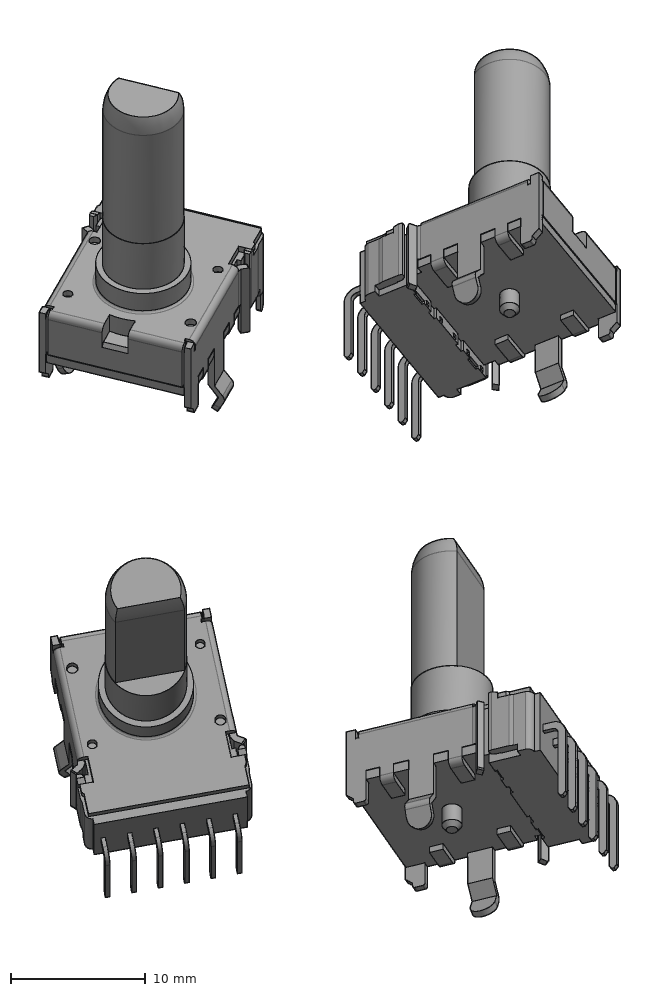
import cadquery as cq
import math


overall_height = 28.8
snap_tip_z = -10.535

shaft_top = overall_height + snap_tip_z
shaft_radius = 3.02
shaft_flat_y = 1.5
shaft_flat_bottom = 6.27
crown_height = 1.45
crown_inset = 0.4
crown_middle_inset = 0.11
collar_radius = 3.045
bushing_radius = 3.54
bushing_top = 1.84
bushing_foot_radius = 3.76
bushing_foot_height = 0.16
bushing_foot_fillet = 0.22

sheet = 0.52
cover_half_width = 6.02
cover_front = -cover_half_width
cover_wall_rear = 4.14
wall_bottom = -3.97
leg_bottom = -6.75
cover_neck_half_width = 5.22
cover_shoulder_front = 6.28
cover_step_front = 6.93
cover_step_rear = 7.14
cover_rear = 8.77
cover_rear_half_width = 6.09
cover_shoulder_half_width = 6.25
bend_radius = 0.5
corner_relief_rear = -5.03
corner_relief_front = -5.28
corner_relief_depth = 0.8
front_wall_half_width = 5.32
front_slit_half_width = front_wall_half_width + 0.14
front_slit_depth = 0.7
front_leg_rear = -4.43
front_leg_toe = -5.44
front_leg_shoulder = -5.8
front_leg_knee = -6.3
leg_corner_radius = 0.2
flare_top = -0.5
flare_root_outer = (6.08, 4.42)
flare_root_inner = (5.72, 4.79)
flare_reach_x = 0.59
flare_reach_y = 0.39
hole_depth = sheet
large_hole_diameter = 0.83
small_hole_diameter = 0.73
large_hole_centers = [(-5.02, 3.13), (4.95, -3.18)]
small_hole_centers = [(4.71, 3.23), (-4.76, -3.28)]
notch_half_width = 1.015
notch_floor = -1.6
notch_lip_bottom = -1.93
notch_lip_y = -5.76
notch_back_radius = 4.55
stake_inner_x = {2.73: 3.5, -2.78: 3.7}
stake_width = 1.1

body_bottom = -4.77
body_half_width = 5.44
body_skirt_half_width = 5.97
body_front = -5.95
rear_bottom = -5.81
rear_front = 5.36
rear_end = 9.48
rear_core_half_width = 5.75
rear_cheek_half_width = 6.33
rear_end_half_width = 5.8
cheek_bottom = -5.18
cheek_front = 7.87
cheek_round_start = 8.5
cheek_round_end = 9.0
cheek_round_radius = 0.55
finger_inner_x = 5.8
finger_outer_x = 6.4
finger_front = 5.53
finger_barb_y = 5.83
finger_rear = 7.2
finger_blend_rear = 7.55
finger_top = 0.15
finger_tip_chamfer = 0.2
finger_outer_relief = 0.06
peg_radius = 0.75
peg_bottom = -6.62
peg_tip_radius = 0.43
peg_taper_height = 0.42
rib_groove_inner_x = 1.62
rib_groove_outer_x = 2.39
foot_slot_inner_x = 3.4
foot_slot_outer_x = 4.58
foot_slot_top = -5.58
face_recess_depth = 0.2

pin_count = 6
pin_pitch = 2.0
pin_row_center = 0.125
pin_width = 0.34
pin_thickness = 0.6
pin_back = 11.29
pin_top = -3.11
pin_bend_radius = 1.05
pin_bottom = -10.0
pin_taper_height = 0.28
pin_tip_thickness = 0.2
pin_window_width = 0.34
pin_window_top = -5.2
pin_window_bottom = -5.58

snap_half_width = 0.995
snap_straight_end = -7.6
snap_knee_x = 6.905
snap_knee_z = -8.69
snap_knee_radius = 0.61
snap_inner_knee_x = 6.33
snap_inner_knee_z = -8.67
snap_tip_x = 6.02


def block(x0, x1, y0, y1, z0, z1):
    return cq.Workplane("XY").box(x1 - x0, y1 - y0, z1 - z0, centered=False).translate((x0, y0, z0))


def wide_block(half_width, y0, y1, z0, z1):
    return block(-half_width, half_width, y0, y1, z0, z1)


def both_sides(solid):
    return solid.union(solid.mirror("YZ"))


def prism_x(profile, x0, x1):
    """Extrude a closed YZ profile from x0 to x1."""
    return profile.extrude(x1 - x0).translate((x0, 0, 0))


def make_shaft():
    crown_bottom = shaft_top - crown_height
    middle_z = shaft_top - crown_height / 2
    round_body = (
        cq.Workplane("XZ")
        .lineTo(shaft_radius, 0)
        .lineTo(shaft_radius, crown_bottom)
        .threePointArc((shaft_radius - crown_middle_inset, middle_z), (shaft_radius - crown_inset, shaft_top))
        .lineTo(0, shaft_top)
        .close()
        .revolve(360, (0, 0), (0, 1))
    )
    flat_side = (
        cq.Workplane("YZ")
        .moveTo(shaft_flat_y, shaft_flat_bottom)
        .lineTo(shaft_flat_y, crown_bottom)
        .threePointArc((shaft_flat_y - crown_middle_inset, middle_z), (shaft_flat_y - crown_inset, shaft_top))
        .lineTo(shaft_radius, shaft_top)
        .lineTo(shaft_radius, shaft_flat_bottom)
        .close()
    )
    shaft = round_body.cut(prism_x(flat_side, -shaft_radius, shaft_radius))
    collar = cq.Workplane("XY").circle(collar_radius).extrude(shaft_flat_bottom)
    bushing = (
        cq.Workplane("XZ")
        .lineTo(bushing_foot_radius, 0)
        .radiusArc((bushing_radius, bushing_foot_height), bushing_foot_fillet)
        .lineTo(bushing_radius, bushing_top)
        .lineTo(0, bushing_top)
        .close()
        .revolve(360, (0, 0), (0, 1))
    )
    return shaft.union(collar).union(bushing)


def make_front_leg():
    profile = (
        cq.Workplane("YZ")
        .moveTo(cover_front, 0)
        .lineTo(corner_relief_front, 0)
        .lineTo(corner_relief_front, wall_bottom)
        .lineTo(front_leg_rear, wall_bottom)
        .lineTo(front_leg_rear, leg_bottom)
        .lineTo(front_leg_toe, leg_bottom)
        .lineTo(front_leg_toe, front_leg_knee)
        .lineTo(cover_front, front_leg_shoulder)
        .close()
    )
    leg = prism_x(profile, cover_half_width - sheet, cover_half_width)
    return leg.faces("<Z").edges("|X").fillet(leg_corner_radius)


def make_flared_leg():
    """Rear leg, bent outwards from the side wall."""
    inner_wall = cover_half_width - sheet
    blade_outline = [
        flare_root_outer,
        (flare_root_outer[0] + flare_reach_x, flare_root_outer[1] + flare_reach_y),
        (flare_root_inner[0] + flare_reach_x, flare_root_inner[1] + flare_reach_y),
        flare_root_inner,
    ]
    bend_outline = [
        (inner_wall, cover_wall_rear),
        (cover_half_width, cover_wall_rear),
        flare_root_outer,
        flare_root_inner,
        (inner_wall, flare_root_outer[1]),
    ]
    blade = cq.Workplane("XY").polyline(blade_outline).close().extrude(leg_bottom - flare_top)
    blade = blade.edges(">Z or <Z").edges(">X").chamfer(leg_corner_radius / 2)
    bend = cq.Workplane("XY").polyline(bend_outline).close().extrude(wall_bottom - flare_top)
    return blade.union(bend).translate((0, 0, flare_top))


def make_snap_leg():
    run = snap_knee_x - snap_tip_x
    drop = snap_knee_z - snap_tip_z
    length = math.hypot(run, drop)
    normal = (drop / length, 0, -run / length)
    inner_tip = (snap_tip_x - sheet * normal[0], snap_tip_z - sheet * normal[2])
    blade = (
        cq.Workplane("XZ")
        .moveTo(cover_half_width, wall_bottom)
        .lineTo(cover_half_width, snap_straight_end)
        .lineTo(snap_knee_x, snap_knee_z)
        .lineTo(snap_tip_x, snap_tip_z)
        .lineTo(*inner_tip)
        .lineTo(snap_inner_knee_x, snap_inner_knee_z)
        .lineTo(cover_half_width - sheet, snap_straight_end)
        .lineTo(cover_half_width - sheet, wall_bottom)
        .close()
        .extrude(snap_half_width, both=True)
    )
    blade = blade.edges("|Y and >X").fillet(snap_knee_radius)
    tip_plane = cq.Plane(origin=(snap_tip_x, 0, snap_tip_z), xDir=(0, 1, 0), normal=normal)
    up = 1 if tip_plane.yDir.z > 0 else -1
    corner_scrap = (
        cq.Workplane(tip_plane)
        .moveTo(-snap_half_width, up * snap_half_width)
        .threePointArc((0, 0), (snap_half_width, up * snap_half_width))
        .lineTo(snap_half_width, -up * sheet)
        .lineTo(-snap_half_width, -up * sheet)
        .close()
        .extrude(2 * sheet, both=True)
    )
    return blade.cut(corner_scrap)


def make_stake(center_y, inner_x):
    """Tab of the side wall folded inwards under the plastic body."""
    outer_wall = cover_half_width - sheet
    stake = block(inner_x, cover_half_width, 0, stake_width, body_bottom - sheet, wall_bottom)
    stake = stake.edges("|Y").edges(">X and <Z").fillet(sheet)
    stake = stake.cut(block(inner_x, outer_wall, 0, stake_width, body_bottom, wall_bottom))
    return stake.translate((0, center_y - stake_width / 2, 0))


def make_cover():
    shell = wide_block(cover_half_width, cover_front, cover_wall_rear, wall_bottom, 0)
    shell = shell.edges("|Y and >Z").fillet(bend_radius)
    shell = shell.edges("|X").edges("<Y and >Z").fillet(bend_radius)
    roof = wide_block(cover_neck_half_width, 0, cover_shoulder_front, -sheet, 0)
    rear_roof = (
        cq.Workplane("XY")
        .moveTo(0, cover_shoulder_front)
        .lineTo(cover_shoulder_half_width, cover_shoulder_front)
        .lineTo(cover_shoulder_half_width, cover_step_front)
        .lineTo(cover_rear_half_width, cover_step_rear)
        .lineTo(cover_rear_half_width, cover_rear)
        .lineTo(0, cover_rear)
        .close()
        .extrude(-sheet)
    )
    sides = make_front_leg().union(make_flared_leg()).union(make_snap_leg())
    for center_y, inner_x in stake_inner_x.items():
        sides = sides.union(make_stake(center_y, inner_x))
    cover = shell.union(roof).union(both_sides(rear_roof)).union(both_sides(sides))
    slit = block(front_wall_half_width, front_slit_half_width, cover_front,
                 cover_front + front_slit_depth, wall_bottom, 0)
    relief = block(cover_neck_half_width, cover_half_width, corner_relief_front, corner_relief_rear,
                   -corner_relief_depth, 0)
    return cover.cut(both_sides(slit.union(relief)))


def make_rear_body():
    core = wide_block(rear_core_half_width, rear_front, cheek_front, rear_bottom, -sheet)
    cheeks = (
        cq.Workplane("XY")
        .moveTo(0, cover_shoulder_front)
        .lineTo(rear_cheek_half_width, cover_shoulder_front)
        .lineTo(rear_cheek_half_width, cheek_round_start)
        .radiusArc((rear_end_half_width, cheek_round_end), -cheek_round_radius)
        .lineTo(rear_end_half_width, rear_end)
        .lineTo(0, rear_end)
        .close()
        .extrude(rear_bottom + sheet)
        .translate((0, 0, -sheet))
    )
    below_cheek = block(rear_core_half_width, finger_outer_x, rear_front, cheek_front,
                        rear_bottom, cheek_bottom)
    return core.union(both_sides(cheeks.cut(below_cheek)))


def make_finger():
    """Latch finger at the side of the rear body, with a barb above the roof."""
    arm = (
        cq.Workplane("XY")
        .moveTo(finger_inner_x, finger_blend_rear)
        .lineTo(finger_inner_x, finger_barb_y)
        .lineTo(finger_inner_x + finger_tip_chamfer, finger_front)
        .lineTo(finger_outer_x - finger_outer_relief, finger_front)
        .lineTo(finger_outer_x, finger_barb_y)
        .lineTo(finger_outer_x, finger_rear)
        .lineTo(rear_cheek_half_width, finger_blend_rear)
        .close()
        .extrude(finger_top - cheek_bottom)
        .translate((0, 0, cheek_bottom))
    )
    above_arm = (
        cq.Workplane("YZ")
        .moveTo(finger_blend_rear, -sheet)
        .lineTo(cover_shoulder_front, -sheet)
        .lineTo(cover_shoulder_front, 0)
        .lineTo(finger_barb_y, finger_top)
        .lineTo(finger_blend_rear, finger_top)
        .close()
    )
    return arm.cut(prism_x(above_arm, finger_inner_x, finger_outer_x))


def make_peg():
    return (
        cq.Workplane("XZ")
        .moveTo(0, wall_bottom)
        .lineTo(peg_radius, wall_bottom)
        .lineTo(peg_radius, peg_bottom + peg_taper_height)
        .lineTo(peg_tip_radius, peg_bottom)
        .lineTo(0, peg_bottom)
        .close()
        .revolve(360, (0, 0), (0, 1))
    )


def pin_positions():
    first = pin_row_center - pin_pitch * (pin_count - 1) / 2
    return [first + i * pin_pitch for i in range(pin_count)]


def make_pin(center_x):
    inner_y = pin_back - pin_thickness
    tip_inset = (pin_thickness - pin_tip_thickness) / 2
    inner_radius = pin_bend_radius - pin_thickness
    profile = (
        cq.Workplane("YZ")
        .moveTo(rear_end, pin_top)
        .lineTo(pin_back - pin_bend_radius, pin_top)
        .radiusArc((pin_back, pin_top - pin_bend_radius), pin_bend_radius)
        .lineTo(pin_back, pin_bottom + pin_taper_height)
        .lineTo(pin_back - tip_inset, pin_bottom)
        .lineTo(inner_y + tip_inset, pin_bottom)
        .lineTo(inner_y, pin_bottom + pin_taper_height)
        .lineTo(inner_y, pin_top - pin_bend_radius)
        .radiusArc((inner_y - inner_radius, pin_top - pin_thickness), -inner_radius)
        .lineTo(rear_end, pin_top - pin_thickness)
        .close()
    )
    return prism_x(profile, center_x - pin_width / 2, center_x + pin_width / 2)


def make_rear_recesses():
    """Shallow recesses in the exposed lower front face of the rear body."""
    recess_back = rear_front + face_recess_depth
    groove = block(rib_groove_inner_x, rib_groove_outer_x, rear_front, recess_back, rear_bottom, body_bottom)
    slot = block(foot_slot_inner_x, foot_slot_outer_x, rear_front, recess_back, rear_bottom, foot_slot_top)
    recesses = both_sides(groove.union(slot))
    for x in pin_positions():
        window = block(x - pin_window_width / 2, x + pin_window_width / 2, rear_front, recess_back,
                       pin_window_bottom, pin_window_top)
        recesses = recesses.union(window)
    return recesses


def make_front_notch():
    profile = (
        cq.Workplane("YZ")
        .moveTo(0, 0)
        .lineTo(cover_front, 0)
        .lineTo(cover_front, notch_lip_bottom)
        .lineTo(notch_lip_y, notch_floor)
        .lineTo(0, notch_floor)
        .close()
    )
    back_wall = cq.Workplane("XY").circle(notch_back_radius).extrude(2 * notch_floor)
    return prism_x(profile, -notch_half_width, notch_half_width).cut(back_wall)


def make_holes(centers, diameter):
    return cq.Workplane("XY").pushPoints(centers).circle(diameter / 2).extrude(-hole_depth)


def make_body():
    lower = wide_block(body_half_width, body_front, rear_front, body_bottom, wall_bottom)
    upper = wide_block(body_half_width, 0, rear_front, wall_bottom, -sheet)
    skirt = wide_block(body_skirt_half_width, front_leg_rear, flare_root_outer[1], body_bottom, wall_bottom)
    rear = make_rear_body().cut(make_rear_recesses()).union(both_sides(make_finger()))
    return lower.union(upper).union(skirt).union(rear).union(make_peg())


result = make_body().union(make_cover()).union(make_shaft())
for pin_x in pin_positions():
    result = result.union(make_pin(pin_x))
result = result.cut(make_front_notch())
result = result.cut(make_holes(large_hole_centers, large_hole_diameter))
result = result.cut(make_holes(small_hole_centers, small_hole_diameter))